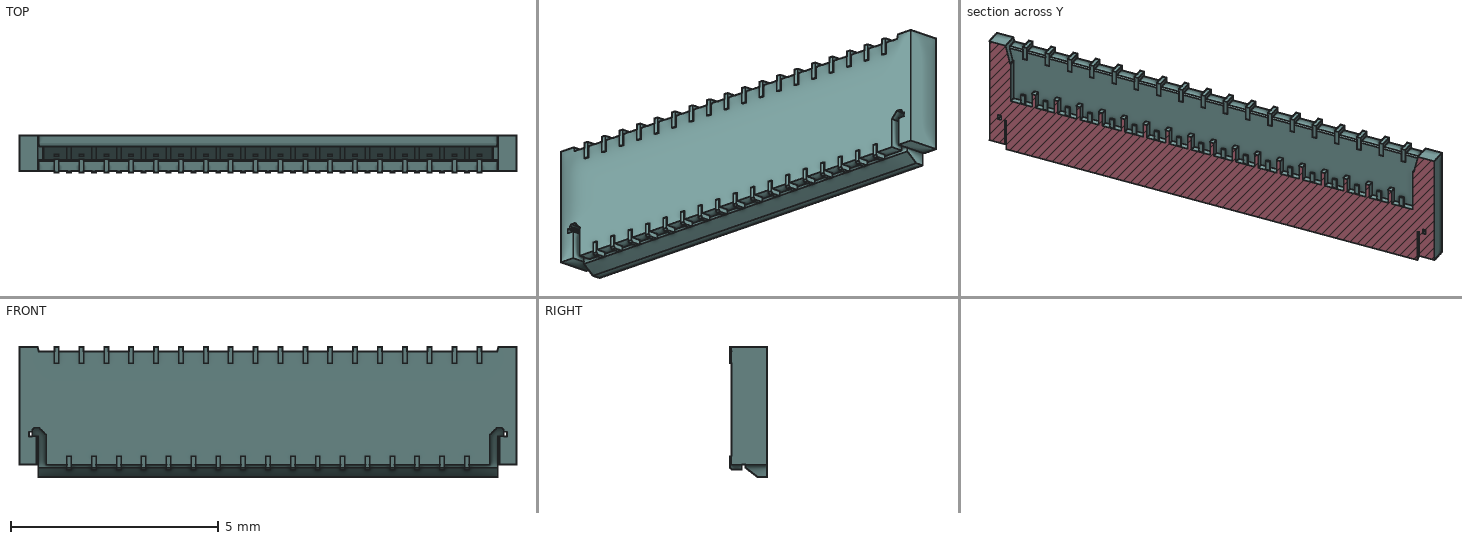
import cadquery as cq


LENGTH = 12.0
DEPTH = 0.86
HEIGHT = 2.85
MOUTH_DROP = 0.11
MOUTH_HALF = 5.55
WALL_TOP = HEIGHT - MOUTH_DROP

FRONT_WALL = 0.24
BACK_WALL = 0.18
LEAD_IN_RADIUS = 0.1
FRONT_EDGE_CHAMFER = 0.04
CAVITY_FRONT = FRONT_WALL + FRONT_EDGE_CHAMFER
CAVITY_BACK = DEPTH - BACK_WALL - LEAD_IN_RADIUS
CAVITY_DEPTH = 1.44
CAVITY_FLOOR = WALL_TOP - CAVITY_DEPTH
TAPER_DEPTH = 0.48
TAPER_HALF = 5.44
FLOOR_HALF = 5.41

PITCH = 0.6
TOP_COUNT = 18
BOTTOM_COUNT = TOP_COUNT - 1
CONTACT_WIDTH = 0.11
FOOT_PROUD = 0.04
TOP_LEG = 0.4
INNER_LEG_BACK = 0.29
INNER_LEG = 0.24
TIP_FRONT = 0.36
TIP_BACK = 0.41
TIP_HEIGHT = 0.24
RIB_HEIGHT = 0.36
BOTTOM_LEG = 0.2
BOTTOM_DROP = 0.12
BOTTOM_BACK = 0.25
BOTTOM_CHAMFER = 0.05

BAR_HALF = 5.55
BAR_FRONT = 0.34
BAR_DROP = 0.3
BAR_FLAT = 0.23
BAR_STEP = 0.07

SLOT_INNER = 5.35
SLOT_OUTER = 5.58
SLOT_END = 5.76
HOOK_END = 5.69
HOOK_BOTTOM = 0.68
SLOT_END_TOP = 0.79
HOOK_TOP = 0.89
HOOK_CORNER = 0.05
SLOT_CHAMFER = 0.17
HOOK_OUTLINE = [
    (SLOT_INNER, 0),
    (SLOT_INNER, HOOK_TOP - SLOT_CHAMFER),
    (SLOT_INNER + SLOT_CHAMFER, HOOK_TOP),
    (HOOK_END - HOOK_CORNER, HOOK_TOP),
    (HOOK_END, HOOK_TOP - HOOK_CORNER),
]


def box(x0, x1, y0, y1, z0, z1):
    """Box between the given X, Y and Z limits."""
    return cq.Workplane("XY").box(x1 - x0, y1 - y0, z1 - z0, centered=False).translate((x0, y0, z0))


def along_x(points, width, x=0):
    """Solid of the given width, centred on x, from a (Y, Z) outline."""
    return cq.Workplane("YZ").polyline(points).close().extrude(width / 2, both=True).translate((x, 0, 0))


def along_y(points, y0, y1):
    """Solid between y0 and y1 from an (X, Z) outline."""
    return cq.Workplane("XZ", origin=(0, y0, 0)).polyline(points).close().extrude(y0 - y1)


def both_ends(solid):
    """The solid together with its mirror image at the other end."""
    return solid.union(solid.mirror("YZ"))


def row_positions(count):
    """X positions of a contact row centred on the housing."""
    return [(i - (count - 1) / 2) * PITCH for i in range(count)]


def make_opening():
    """Cable opening: mouth, cavity and eased wall edges, bounded by the tapered end walls."""
    mouth = box(-MOUTH_HALF, MOUTH_HALF, 0, DEPTH, WALL_TOP, HEIGHT)
    cavity = box(-MOUTH_HALF, MOUTH_HALF, CAVITY_FRONT, CAVITY_BACK, CAVITY_FLOOR, WALL_TOP)
    chamfer = along_x(
        [
            (FRONT_WALL, WALL_TOP),
            (CAVITY_FRONT, WALL_TOP),
            (CAVITY_FRONT, WALL_TOP - FRONT_EDGE_CHAMFER),
        ],
        2 * MOUTH_HALF,
    )
    round_bottom = WALL_TOP - LEAD_IN_RADIUS
    round_back = CAVITY_BACK + LEAD_IN_RADIUS
    lead_in = box(-MOUTH_HALF, MOUTH_HALF, CAVITY_BACK, round_back, round_bottom, WALL_TOP)
    round_edge = (
        cq.Workplane("YZ")
        .center(round_back, round_bottom)
        .circle(LEAD_IN_RADIUS)
        .extrude(MOUTH_HALF, both=True)
    )
    end_limits = along_y(
        [
            (-MOUTH_HALF, HEIGHT),
            (MOUTH_HALF, HEIGHT),
            (TAPER_HALF, HEIGHT - TAPER_DEPTH),
            (FLOOR_HALF, HEIGHT - TAPER_DEPTH),
            (FLOOR_HALF, CAVITY_FLOOR),
            (-FLOOR_HALF, CAVITY_FLOOR),
            (-FLOOR_HALF, HEIGHT - TAPER_DEPTH),
            (-TAPER_HALF, HEIGHT - TAPER_DEPTH),
        ],
        0,
        DEPTH,
    )
    return mouth.union(cavity).union(chamfer).union(lead_in.cut(round_edge)).intersect(end_limits)


def make_housing():
    body = box(-LENGTH / 2, LENGTH / 2, 0, DEPTH, 0, HEIGHT)
    return body.cut(make_opening()).cut(make_slots())


def make_slots():
    slot = along_y(
        [
            *HOOK_OUTLINE,
            (HOOK_END, SLOT_END_TOP),
            (SLOT_END, SLOT_END_TOP),
            (SLOT_END, HOOK_BOTTOM),
            (SLOT_OUTER, HOOK_BOTTOM),
            (SLOT_OUTER, 0),
        ],
        0,
        DEPTH,
    )
    return both_ends(slot)


def make_locking_bar():
    bar = along_x(
        [
            (DEPTH, 0),
            (DEPTH, -BAR_DROP),
            (DEPTH - BAR_FLAT, -BAR_DROP),
            (BAR_FRONT, -BAR_STEP),
            (BAR_FRONT, 0),
        ],
        2 * BAR_HALF,
    )
    arm = along_y(
        [
            *HOOK_OUTLINE,
            (HOOK_END, HOOK_BOTTOM),
            (BAR_HALF, HOOK_BOTTOM),
            (BAR_HALF, 0),
        ],
        BAR_FRONT,
        DEPTH,
    )
    return bar.union(both_ends(arm))


def make_top_contact(x):
    """Clip over the front wall, with its spring tip standing on the cavity floor."""
    x0 = x - CONTACT_WIDTH / 2
    x1 = x + CONTACT_WIDTH / 2
    bridge = box(x0, x1, -FOOT_PROUD, INNER_LEG_BACK, WALL_TOP, HEIGHT)
    leg = box(x0, x1, -FOOT_PROUD, 0, HEIGHT - TOP_LEG, WALL_TOP)
    inner_leg = box(x0, x1, FRONT_WALL, INNER_LEG_BACK, WALL_TOP - INNER_LEG, WALL_TOP)
    tip = box(x0, x1, TIP_FRONT, TIP_BACK, CAVITY_FLOOR, CAVITY_FLOOR + TIP_HEIGHT)
    return bridge.union(leg).union(inner_leg).union(tip)


def make_bottom_contact(x):
    """Foot at the bottom front edge, with a matching rib across the cavity floor."""
    foot = along_x(
        [
            (-FOOT_PROUD, BOTTOM_LEG),
            (BOTTOM_BACK, BOTTOM_LEG),
            (BOTTOM_BACK, -BOTTOM_DROP),
            (BOTTOM_CHAMFER - FOOT_PROUD, -BOTTOM_DROP),
            (-FOOT_PROUD, BOTTOM_CHAMFER - BOTTOM_DROP),
        ],
        CONTACT_WIDTH,
        x,
    )
    rib = box(
        x - CONTACT_WIDTH / 2,
        x + CONTACT_WIDTH / 2,
        CAVITY_FRONT,
        CAVITY_BACK,
        CAVITY_FLOOR,
        CAVITY_FLOOR + RIB_HEIGHT,
    )
    return foot.union(rib)


result = make_housing().union(make_locking_bar())
for x in row_positions(TOP_COUNT):
    result = result.union(make_top_contact(x))
for x in row_positions(BOTTOM_COUNT):
    result = result.union(make_bottom_contact(x))